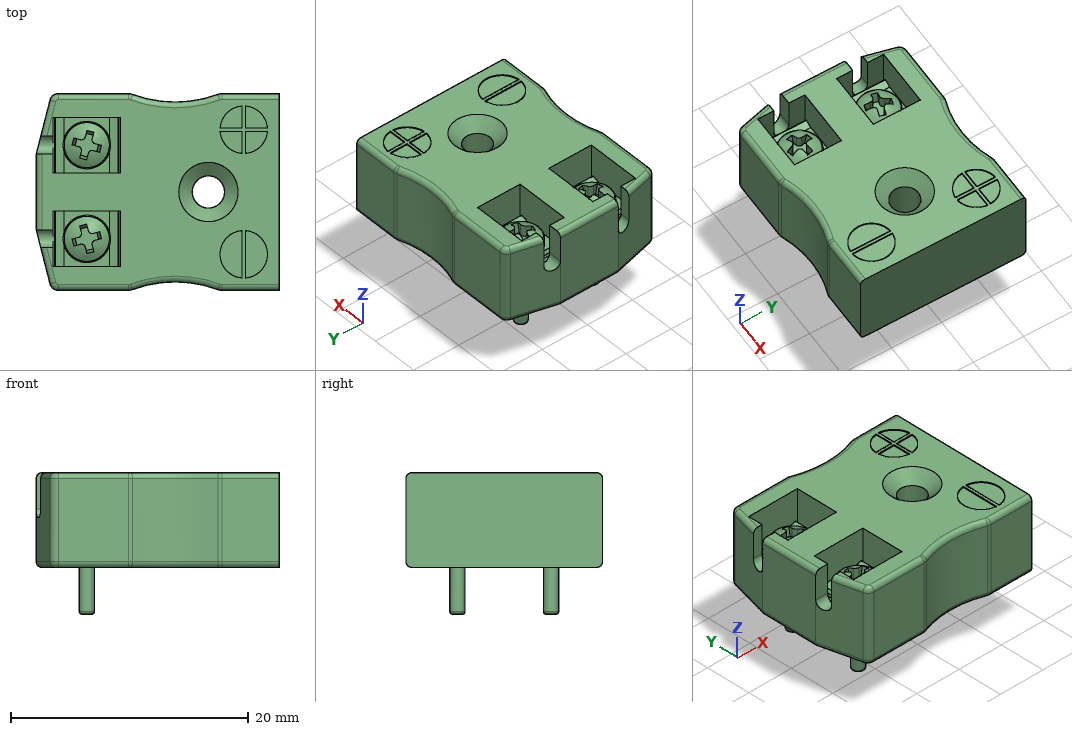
import cadquery as cq
import math


length = 20.5
width = 16.6
height = 8.0
half_width = width / 2
nose_half_width = 3.2
nose_setback = 1.3
corner_radius = 0.75
rim_radius = 0.5
waist_x = 11.72
waist_half_length = 3.76
waist_depth = 0.71
waist_blend_radius = 1.0

hole_x = 14.52
hole_diameter = 2.7
countersink_diameter = 5.0
countersink_angle = 90

mark_x = 17.5
mark_y = 5.25
mark_diameter = 4.0
mark_bar = 0.3
mark_depth = 0.1

terminal_x = 4.27
terminal_y = 3.95
pocket_length = 5.72
pocket_width = 4.7
wire_slot_width = 1.5
wire_slot_depth = 3.8

plate_length = 5.42
plate_flat_length = 3.82
plate_thickness = 0.24
plate_top = 4.48
wing_angle = math.radians(20)
plate_bottom = plate_top - plate_thickness

head_radius = 2.0
head_wall_height = 0.72
head_edge_inset = 0.1
head_edge_height = 0.22
dome_height = 0.72
shank_diameter = 2.1
shank_length = 1.6
recess_tip_radius = 1.28
recess_floor_radius = 0.95
recess_arm_width = 0.6
recess_corner_radius = 0.35
recess_depth = 1.2
recess_turn = 15

pin_diameter = 1.3
pin_projection = 3.95
pin_embedded = 1.5
pin_tip_radius = 0.25


def make_outline_block():
    """Housing without its openings: slanted nose, finger grips and rounded rims."""
    waist_start = waist_x - waist_half_length
    waist_end = waist_x + waist_half_length
    waist_y = half_width - waist_depth
    block = (
        cq.Workplane("XY")
        .moveTo(0, -nose_half_width)
        .lineTo(nose_setback, -half_width)
        .lineTo(waist_start, -half_width)
        .threePointArc((waist_x, -waist_y), (waist_end, -half_width))
        .lineTo(length, -half_width)
        .lineTo(length, half_width)
        .lineTo(waist_end, half_width)
        .threePointArc((waist_x, waist_y), (waist_start, half_width))
        .lineTo(nose_setback, half_width)
        .lineTo(0, nose_half_width)
        .close()
        .extrude(height)
    )

    def upright_edges_at(x):
        reach = 0.1
        low = (x - reach, -width, -1)
        high = (x + reach, width, height + 1)
        return block.edges("|Z").edges(cq.selectors.BoxSelector(low, high))

    block = upright_edges_at(nose_setback).fillet(corner_radius)
    for x in (waist_start, waist_end):
        block = upright_edges_at(x).fillet(waist_blend_radius)
    return block.faces("<Z or >Z").edges("not(>X)").fillet(rim_radius)


def make_pocket(y):
    """Screw pocket, down to the underside of the clamp plate."""
    return (
        cq.Workplane("XY", origin=(terminal_x, y, plate_bottom))
        .rect(pocket_length, pocket_width)
        .extrude(height)
    )


def make_wire_slot(y):
    """Round-bottomed slot from the wire end into the pocket."""
    radius = wire_slot_width / 2
    return (
        cq.Workplane("YZ")
        .moveTo(y - radius, height)
        .lineTo(y - radius, height - wire_slot_depth + radius)
        .threePointArc((y, height - wire_slot_depth), (y + radius, height - wire_slot_depth + radius))
        .lineTo(y + radius, height)
        .close()
        .extrude(terminal_x)
    )


def make_mark(y, has_cross_bar):
    """Sunk disc with a raised bar along Y, and a second along X for the plus sign."""
    base = cq.Workplane("XY", origin=(mark_x, y, height - mark_depth))
    mark = base.circle(mark_diameter / 2).extrude(mark_depth)
    mark = mark.cut(base.rect(mark_bar, mark_diameter).extrude(mark_depth))
    if has_cross_bar:
        mark = mark.cut(base.rect(mark_diameter, mark_bar).extrude(mark_depth))
    return mark


def make_housing():
    housing = make_outline_block()
    housing = (
        housing.faces(">Z")
        .workplane(origin=(hole_x, 0, height))
        .cskHole(hole_diameter, countersink_diameter, countersink_angle)
    )
    housing = housing.cut(make_mark(mark_y, True))
    housing = housing.cut(make_mark(-mark_y, False))
    for y in (-terminal_y, terminal_y):
        shank_hole = make_shank(y)
        pin_hole = make_pin(y)
        for opening in (make_pocket(y), make_wire_slot(y), shank_hole, pin_hole):
            housing = housing.cut(opening)
    return housing


def make_shank(y):
    return (
        cq.Workplane("XY", origin=(terminal_x, y, plate_top))
        .circle(shank_diameter / 2)
        .extrude(-plate_thickness - shank_length)
    )


def make_clamp_plate(y):
    """Bent strip lying in the pocket with a small gap at each end."""
    bend = plate_thickness * math.tan(wing_angle / 2)
    flat_half = plate_flat_length / 2
    tip_outer_x = plate_length / 2
    tip_inner_x = tip_outer_x - plate_thickness * math.sin(wing_angle)
    tip_inner_z = (tip_inner_x - flat_half) * math.tan(wing_angle)
    tip_outer_z = tip_inner_z - plate_thickness * math.cos(wing_angle)
    right_side = [
        (flat_half + bend, -plate_thickness),
        (tip_outer_x, tip_outer_z),
        (tip_inner_x, tip_inner_z),
        (flat_half, 0),
    ]
    left_side = [(-x, z) for x, z in reversed(right_side)]
    plate = (
        cq.Workplane("XZ", origin=(terminal_x, y, plate_top))
        .polyline(right_side + left_side)
        .close()
        .extrude(pocket_width / 2, both=True)
    )
    head_seat = (
        cq.Workplane("XY", origin=(terminal_x, y, plate_top))
        .circle(head_radius)
        .extrude(head_wall_height)
    )
    return plate.cut(head_seat).cut(make_shank(y))


def make_cross_recess():
    """Four-armed driver recess with sloping arm ends, its floor centred on the origin."""
    arm_profile = [
        (-recess_floor_radius, 0),
        (recess_floor_radius, 0),
        (recess_tip_radius, recess_depth),
        (-recess_tip_radius, recess_depth),
    ]
    arm = (
        cq.Workplane("XZ")
        .polyline(arm_profile)
        .close()
        .extrude(recess_arm_width / 2, both=True)
    )
    recess = arm.union(arm.rotate((0, 0, 0), (0, 0, 1), 90))
    return recess.edges("|Z").fillet(recess_corner_radius)


def make_screw(y):
    edge_z = head_wall_height
    dome_z = edge_z + head_edge_height
    dome_base_radius = head_radius - head_edge_inset
    apex_z = dome_z + dome_height
    dome_radius = (dome_base_radius**2 + dome_height**2) / (2 * dome_height)
    half_angle = math.asin(dome_base_radius / dome_radius) / 2
    dome_middle = (
        dome_radius * math.sin(half_angle),
        apex_z - dome_radius * (1 - math.cos(half_angle)),
    )
    head = (
        cq.Workplane("XZ")
        .lineTo(head_radius, 0)
        .lineTo(head_radius, edge_z)
        .lineTo(dome_base_radius, dome_z)
        .threePointArc(dome_middle, (0, apex_z))
        .close()
        .revolve(360, (0, 0, 0), (0, 1, 0))
    )
    recess = make_cross_recess().translate((0, 0, apex_z - recess_depth))
    turn = math.copysign(recess_turn, -y)
    head = head.cut(recess.rotate((0, 0, 0), (0, 0, 1), turn))
    return head.translate((terminal_x, y, plate_top)).union(make_shank(y))


def make_pin(y):
    """Round pin with a rounded tip, set into the underside of the housing."""
    return (
        cq.Workplane("XY", origin=(terminal_x, y, -pin_projection))
        .circle(pin_diameter / 2)
        .extrude(pin_projection + pin_embedded)
        .faces("<Z")
        .edges()
        .fillet(pin_tip_radius)
    )


bodies = [make_housing().val()]
for side_y in (-terminal_y, terminal_y):
    bodies.append(make_clamp_plate(side_y).val())
    bodies.append(make_screw(side_y).val())
    bodies.append(make_pin(side_y).val())

result = cq.Compound.makeCompound(bodies)